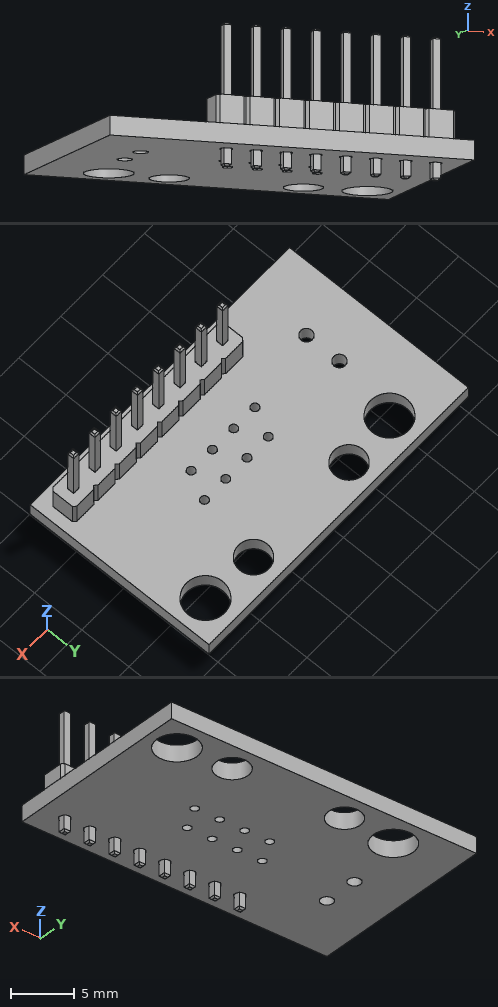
import cadquery as cq

BOARD_LENGTH = 31.0
BOARD_WIDTH = 19.0
BOARD_THICKNESS = 1.6

PIN_COUNT = 8
PITCH = 2.55
FIRST_PIN_X = 10.85
PIN_ROW_Y = 2.5
CELL_CHAMFER = 0.25
HOUSING_HEIGHT = PITCH
PIN_SIDE = 0.65
PIN_LENGTH = 11.53
PIN_LENGTH_BELOW_HOUSING = 3.0
PIN_TIP_CHAMFER = 0.15
PIN_HOLE_DIAMETER = 1.0

CONNECTOR_X = 17.05
LARGE_HOLE_DIAMETER = 4.03
LARGE_HOLE_SPACING = 21.98
LARGE_HOLE_Y = BOARD_WIDTH - 3.0
MEDIUM_HOLE_DIAMETER = 3.2
MEDIUM_HOLE_SPACING = 11.4
MEDIUM_HOLE_Y = BOARD_WIDTH - 2.6

CONTACT_HOLE_DIAMETER = 0.78
CONTACTS_PER_ROW = 4
CONTACT_ROW_SHIFT = PITCH / 4
FRONT_CONTACT_Y = 7.53
BACK_CONTACT_Y = FRONT_CONTACT_Y + PITCH

SIDE_HOLE_DIAMETER = 1.2
SIDE_HOLE_X = 5.02
SIDE_HOLE_FRONT_Y = 6.25
SIDE_HOLE_SPACING = 3.5

PIN_POSITIONS = [(FIRST_PIN_X + i * PITCH, PIN_ROW_Y) for i in range(PIN_COUNT)]


def mirrored_pair(spacing, y):
    """Two points on either side of the connector's centre line."""
    return [(CONNECTOR_X + side * spacing / 2, y) for side in (-1, 1)]


def contact_row(center_x, y):
    """Evenly spaced contact positions centred on center_x."""
    first_x = center_x - (CONTACTS_PER_ROW - 1) * PITCH / 2
    return [(first_x + i * PITCH, y) for i in range(CONTACTS_PER_ROW)]


def drill(plate, points, diameter):
    """Cut round through holes at the given points."""
    holes = cq.Workplane("XY").pushPoints(points).circle(diameter / 2).extrude(BOARD_THICKNESS)
    return plate.cut(holes)


def make_board():
    """Flat board with all of its through holes."""
    plate = cq.Workplane("XY").box(BOARD_LENGTH, BOARD_WIDTH, BOARD_THICKNESS, centered=False)
    contacts = contact_row(CONNECTOR_X - CONTACT_ROW_SHIFT, FRONT_CONTACT_Y)
    contacts += contact_row(CONNECTOR_X + CONTACT_ROW_SHIFT, BACK_CONTACT_Y)
    side_holes = [(SIDE_HOLE_X, SIDE_HOLE_FRONT_Y + i * SIDE_HOLE_SPACING) for i in range(2)]

    plate = drill(plate, mirrored_pair(LARGE_HOLE_SPACING, LARGE_HOLE_Y), LARGE_HOLE_DIAMETER)
    plate = drill(plate, mirrored_pair(MEDIUM_HOLE_SPACING, MEDIUM_HOLE_Y), MEDIUM_HOLE_DIAMETER)
    plate = drill(plate, contacts, CONTACT_HOLE_DIAMETER)
    plate = drill(plate, side_holes, SIDE_HOLE_DIAMETER)
    return drill(plate, PIN_POSITIONS, PIN_HOLE_DIAMETER)


def make_cell(x, y):
    """One housing cell standing on the board, with chamfered upright edges."""
    return (
        cq.Workplane("XY")
        .box(PITCH, PITCH, HOUSING_HEIGHT, centered=(True, True, False))
        .edges("|Z")
        .chamfer(CELL_CHAMFER)
        .translate((x, y, BOARD_THICKNESS))
    )


def make_pin(x, y):
    """One square pin with tapered ends, reaching through the housing and the board."""
    return (
        cq.Workplane("XY")
        .box(PIN_SIDE, PIN_SIDE, PIN_LENGTH, centered=(True, True, False))
        .faces("<Z or >Z")
        .edges()
        .chamfer(PIN_TIP_CHAMFER)
        .translate((x, y, BOARD_THICKNESS - PIN_LENGTH_BELOW_HOUSING))
    )


def make_header():
    """Pin header: cells joined into one housing, together with their pins."""
    header = cq.Workplane("XY")
    for x, y in PIN_POSITIONS:
        header = header.union(make_cell(x, y))
        header = header.union(make_pin(x, y))
    return header


board = make_board()
header = make_header()

result = cq.Compound.makeCompound([board.val(), *header.solids().vals()])